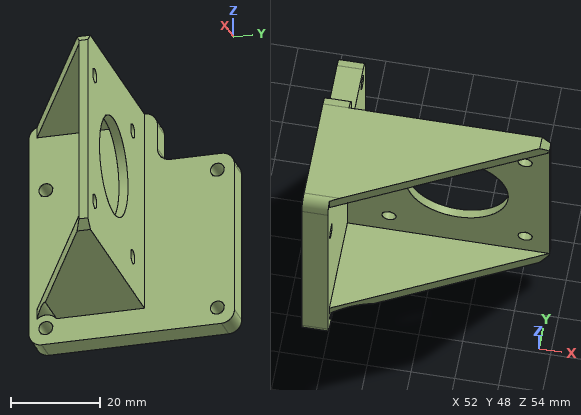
import cadquery as cq

plate_thickness = 6.0
plate_width = 48.0
plate_height = 54.0
corner_radius = 3.0
notch_width = 18.0
notch_depth = 12.0
plate_hole_inset = 4.0
upper_plate_hole_z = 38.0
screw_hole_diameter = 3.2
screw_head_clearance = 6.4

bracket_length = 52.0
bracket_bottom = 6.0
wall_thickness = 2.1
gusset_thickness = 2.8
gusset_depth_at_plate = 25.05
tip_chamfer = 2.0
motor_bore_diameter = 23.2
motor_hole_spacing = 31.0
motor_center_x = 31.0

front_y = -plate_width / 2
back_y = plate_width / 2
notch_y = back_y - notch_width
wall_back = notch_y - corner_radius
wall_front = wall_back - wall_thickness
motor_center_z = (bracket_bottom + plate_height) / 2
bracket_height = plate_height - bracket_bottom


def plate_profile(thickness):
    """Notched, round-cornered plate outline extruded along +X."""
    notch_floor = plate_height - notch_depth
    outline = [
        (front_y, 0),
        (back_y, 0),
        (back_y, notch_floor),
        (notch_y, notch_floor),
        (notch_y, plate_height),
        (front_y, plate_height),
    ]
    solid = cq.Workplane("YZ").polyline(outline).close().extrude(thickness)
    return solid.edges("|X").fillet(corner_radius)


def make_bracket():
    """Wedge hollowed from the front, leaving the wall and two gussets."""
    outline = [
        (0, wall_back),
        (0, front_y),
        (plate_thickness, wall_back - gusset_depth_at_plate),
        (bracket_length, wall_front),
        (bracket_length, wall_back),
    ]
    wedge = cq.Workplane("XY").workplane(offset=bracket_bottom).polyline(outline).close()
    wedge = wedge.extrude(bracket_height)
    wedge = wedge.edges("|Y and >X").chamfer(tip_chamfer)
    pocket = cq.Workplane("XY").box(
        bracket_length,
        wall_front - front_y,
        bracket_height - 2 * gusset_thickness,
        centered=False,
    )
    pocket = pocket.translate((plate_thickness, front_y, bracket_bottom + gusset_thickness))
    return wedge.cut(pocket).intersect(plate_profile(bracket_length))


def plate_cylinders(diameter, start_x, length):
    """Cylinders along X at the four plate hole places."""
    hole_y = back_y - plate_hole_inset
    places = [(y, z) for y in (-hole_y, hole_y) for z in (plate_hole_inset, upper_plate_hole_z)]
    plane = cq.Workplane("YZ").workplane(offset=start_x)
    return plane.pushPoints(places).circle(diameter / 2).extrude(length)


def motor_cutters():
    """Central bore and four screw holes through the wall along Y."""
    plane = cq.Workplane("XZ", origin=(motor_center_x, wall_back, motor_center_z))
    bore = plane.circle(motor_bore_diameter / 2).extrude(wall_thickness)
    holes = plane.rect(motor_hole_spacing, motor_hole_spacing, forConstruction=True).vertices()
    return bore.union(holes.circle(screw_hole_diameter / 2).extrude(wall_thickness))


result = plate_profile(plate_thickness).union(make_bracket())
result = result.cut(plate_cylinders(screw_hole_diameter, 0, plate_thickness))
result = result.cut(plate_cylinders(screw_head_clearance, plate_thickness, bracket_length))
result = result.cut(motor_cutters())